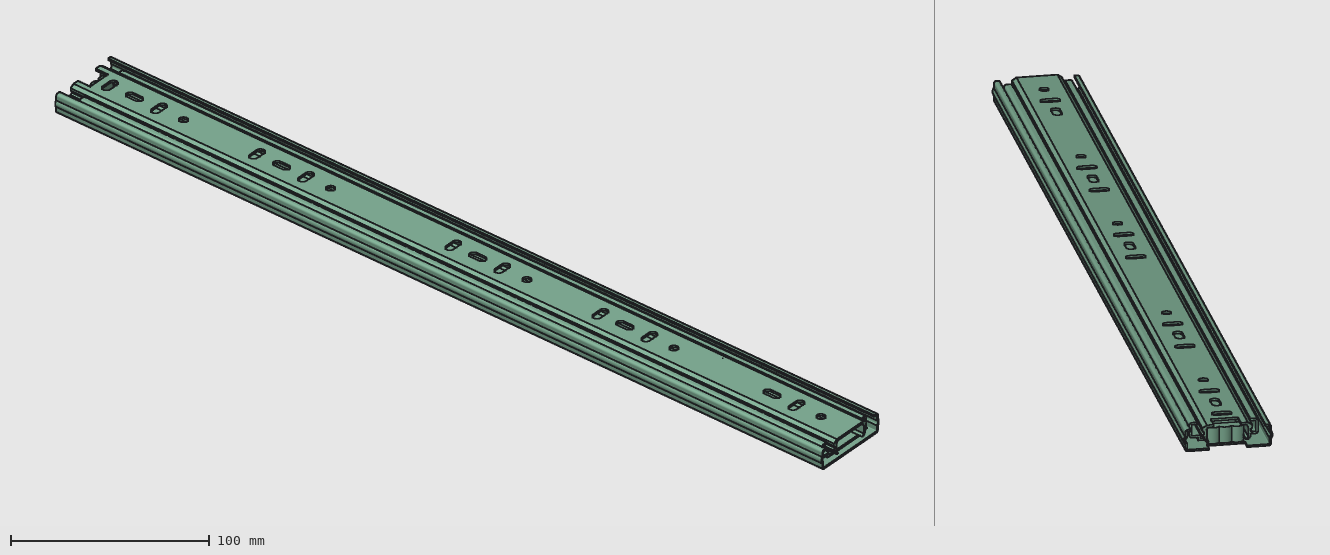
import cadquery as cq

length = 500.0
height = 12.7
width = 45.7
sheet = 1.2
x_min = -length / 2
x_max = length / 2

outer_half = 22.1
outer_sheet = 1.0
outer_top = 11.6
outer_lip_edge = 19.2
outer_corner = 1.4
race_z = 5.9
race_radius = 3.0
race_y = width / 2 - race_radius
floor_notch_half = 9.8
floor_notch_depth = 5.5
drain_hole = 2.2
drain_x = x_max - 6.8

middle_x_min = x_min + 11.5
middle_x_max = x_max - 4.0
middle_half = 17.7
middle_bottom = 2.6
middle_top = 10.9
middle_lip_edge = 13.7
middle_corner = 1.6
lowered_web_half = 11.9

inner_x_min = x_min + 1.9
inner_top_half = 10.5
shoulder_half = 12.8
shoulder_top = 11.2
shoulder_bottom = 9.7
arm_half = 11.9
arm_rib_half = 12.9
arm_rib_z = 7.1
arm_rib_rise = 0.9
arm_bend_z = 5.0
arm_tip_half = 10.7
arm_tip_z = 3.6
top_notch_half = 7.0
top_notch_depth = 8.1

hole_width = 4.8
slot_length = 10.2
hole_pitch = 16.0
group_starts = [-233.0, -137.0, -9.0, 87.0, 183.0]
last_group_start = group_starts[-1]

stop_half = 9.3
stop_top = 9.6
stop_nose_x = x_min + 5.5
nose_depth = 1.3
nose_count = 3


def box(x0, x1, half_y, z0, z1):
    """Box from x0 to x1 and z0 to z1, centred on Y."""
    centre = ((x0 + x1) / 2, 0, (z0 + z1) / 2)
    return cq.Workplane("XY").box(x1 - x0, 2 * half_y, z1 - z0).translate(centre)


def lipped_channel(x0, x1, half_y, z0, z1, lip_edge, corner, thickness):
    """Upward-open sheet channel with rounded corners and lips turned inward."""
    shell = box(x0, x1, half_y, z0, z1).edges("|X").fillet(corner)
    cavity = box(x0, x1, half_y - thickness, z0 + thickness, z1 - thickness)
    cavity = cavity.edges("|X").fillet(corner - thickness)
    opening = box(x0, x1, lip_edge, z1 - 2 * thickness, z1)
    return shell.cut(cavity).cut(opening)


def race_rods(radius):
    """Rods along both arms of the outer member, centred on the ball races."""
    centres = [(-race_y, race_z), (race_y, race_z)]
    return cq.Workplane("YZ", origin=(x_min, 0, 0)).pushPoints(centres).circle(radius).extrude(length)


def make_outer():
    channel = lipped_channel(
        x_min, x_max, outer_half, 0, outer_top, outer_lip_edge, outer_corner, outer_sheet
    )
    hollow = box(x_min, x_max, outer_half - outer_sheet, 0, outer_top)
    grooves = race_rods(race_radius - outer_sheet)
    races = race_rods(race_radius).cut(hollow)
    member = channel.union(races).cut(grooves)
    member = member.cut(box(x_min, x_min + floor_notch_depth, floor_notch_half, 0, outer_sheet))
    drains = (
        cq.Workplane("XY")
        .pushPoints([(drain_x, -outer_lip_edge), (drain_x, outer_lip_edge)])
        .rect(drain_hole, drain_hole)
        .extrude(outer_sheet)
    )
    return member.cut(drains)


def make_middle():
    channel = lipped_channel(
        middle_x_min,
        middle_x_max,
        middle_half,
        middle_bottom,
        middle_top,
        middle_lip_edge,
        middle_corner,
        sheet,
    )
    web_top = middle_bottom + sheet
    web = box(middle_x_min, middle_x_max, lowered_web_half + sheet, outer_sheet, web_top)
    recess = box(middle_x_min, middle_x_max, lowered_web_half, outer_sheet + sheet, web_top)
    return channel.union(web).cut(recess)


def inner_profile():
    """Closed section of the inner member in the YZ plane."""
    outside = [
        (inner_top_half, height),
        (shoulder_half, shoulder_top),
        (shoulder_half, shoulder_bottom),
        (arm_half, shoulder_bottom - arm_rib_rise),
        (arm_half, arm_rib_z + arm_rib_rise),
        (arm_rib_half, arm_rib_z),
        (arm_half, arm_rib_z - arm_rib_rise),
        (arm_half, arm_bend_z),
        (arm_tip_half, arm_tip_z),
    ]
    inside = [
        (arm_tip_half - sheet, arm_tip_z),
        (arm_half - sheet, arm_bend_z),
        (arm_half - sheet, shoulder_top - sheet),
        (inner_top_half - sheet / 2, height - sheet),
    ]
    half = outside + inside
    mirrored = [(-y, z) for y, z in reversed(half)]
    return cq.Workplane("YZ", origin=(inner_x_min, 0, 0)).polyline(half + mirrored).close()


def mounting_holes():
    """Groups of cross slot, long slot, cross slot and round hole; the last lacks its first slot."""
    cross_slots = []
    long_slots = []
    round_holes = []
    for start in group_starts:
        if start != last_group_start:
            cross_slots.append((start, 0))
        long_slots.append((start + hole_pitch, 0))
        cross_slots.append((start + 2 * hole_pitch, 0))
        round_holes.append((start + 3 * hole_pitch, 0))
    plane = cq.Workplane("XY", origin=(0, 0, height - sheet))
    cutters = plane.pushPoints(cross_slots).slot2D(slot_length, hole_width, 90).extrude(sheet)
    cutters = cutters.union(plane.pushPoints(long_slots).slot2D(slot_length, hole_width).extrude(sheet))
    return cutters.union(plane.pushPoints(round_holes).circle(hole_width / 2).extrude(sheet))


def make_inner():
    member = inner_profile().extrude(x_max - inner_x_min)
    notch = box(inner_x_min, inner_x_min + top_notch_depth, top_notch_half, height - sheet, height)
    return member.cut(notch).cut(mounting_holes())


def make_end_stop():
    """Block against the end of the middle web, with convex noses side by side across its front."""
    nose_pitch = 2 * stop_half / nose_count
    root_x = stop_nose_x + nose_depth
    outline = cq.Workplane("XY", origin=(0, 0, outer_sheet))
    outline = outline.moveTo(middle_x_min, -stop_half).lineTo(root_x, -stop_half)
    for index in range(nose_count):
        start_y = -stop_half + index * nose_pitch
        outline = outline.threePointArc(
            (stop_nose_x, start_y + nose_pitch / 2),
            (root_x, start_y + nose_pitch),
        )
    return outline.lineTo(middle_x_min, stop_half).close().extrude(stop_top - outer_sheet)


outer_member = make_outer()
middle_member = make_middle()
inner_member = make_inner()
end_stop = make_end_stop()

result = cq.Compound.makeCompound(
    [outer_member.val(), middle_member.val(), inner_member.val(), end_stop.val()]
)